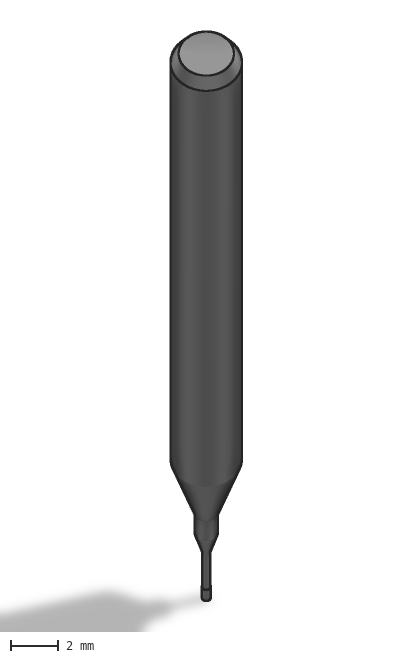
import cadquery as cq

total_length = 38.07
shank_bottom_z = 9.8
collar_top_z = 6.0
collar_bottom_z = 4.65
neck_top_z = 3.27
cutter_length = 0.85

shank_diameter = 3.0
collar_diameter = 1.0
neck_diameter = 0.35
cutter_diameter = 0.38

chamfer_width = 0.35
chamfer_height = 0.6

point_height = 0.08


def revolve_profile(points):
    """Revolve a closed (radius, height) outline about the Z axis."""
    return cq.Workplane("XZ").polyline(points).close().revolve(360, (0, 0), (0, 1))


def make_holder():
    """Shank, long taper, collar, short taper and neck, down to the top of the cutter."""
    shank_radius = shank_diameter / 2
    collar_radius = collar_diameter / 2
    neck_radius = neck_diameter / 2
    return revolve_profile([
        (0, cutter_length),
        (neck_radius, cutter_length),
        (neck_radius, neck_top_z),
        (collar_radius, collar_bottom_z),
        (collar_radius, collar_top_z),
        (shank_radius, shank_bottom_z),
        (shank_radius, total_length - chamfer_height),
        (shank_radius - chamfer_width, total_length),
        (0, total_length),
    ])


def make_cutter():
    """Cylindrical cutting head with a shallow conical point."""
    cutter_radius = cutter_diameter / 2
    return revolve_profile([
        (0, 0),
        (cutter_radius, point_height),
        (cutter_radius, cutter_length),
        (0, cutter_length),
    ])


holder = make_holder()
cutter = make_cutter()

result = cq.Compound.makeCompound([holder.val(), cutter.val()])